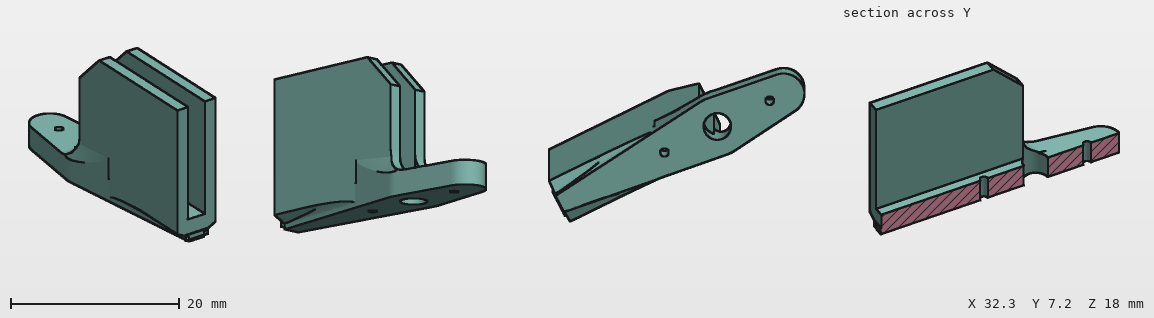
import cadquery as cq
import math

length = 32.3
nose_radius = 2.5
plate_width = 7.2
middle_radius = plate_width / 2
middle_x = 11.27
plate_height = 3.0
taper = (middle_radius - nose_radius) / (middle_x - nose_radius)
tail_slope = 0.12

blade_front = 12.3
blade_back = 32.2
blade_top = 18.0
blade_half_width = 2.78
slot_half_width = 1.23
corner_chamfer = 4.0
front_fillet = 3.0

underside_height = 1.5
underside_fillet = 1.03
underside_slope = 0.5

flare_front_x = 11.65
flare_front_top = 5.1
flare_rear_top = 5.7
flare_power = 1.3
flare_stations = 8
flare_last_fraction = 0.98

pivot_radius = 1.6
pin_diameter = 1.0
pin_positions = (4.33, 18.28)
pad_half_width = 1.6
pad_bottom = 0.25
pad_top = 1.0

tail_cos = 1 / math.sqrt(1 + tail_slope**2)
tail_sin = tail_slope * tail_cos
tail_start_x = middle_x + middle_radius * tail_sin
tail_start_y = middle_radius * tail_cos


def tail_half_width(x):
    return tail_start_y - tail_slope * (x - tail_start_x)


crossing_x = tail_start_x + (tail_start_y - blade_half_width) / tail_slope


def plate(height):
    """Tapered plate outline extruded up from the bottom."""
    side_cos = math.sqrt(1 - taper**2)
    nose = (nose_radius * (1 - taper), nose_radius * side_cos)
    middle = (middle_x - middle_radius * taper, middle_radius * side_cos)
    tail_y = tail_half_width(blade_back)
    return (
        cq.Workplane("XY")
        .moveTo(nose[0], -nose[1])
        .threePointArc((0, 0), nose)
        .lineTo(*middle)
        .threePointArc((middle_x, middle_radius), (tail_start_x, tail_start_y))
        .lineTo(blade_back, tail_y)
        .lineTo(blade_back, -tail_y)
        .lineTo(tail_start_x, -tail_start_y)
        .threePointArc((middle_x, -middle_radius), (middle[0], -middle[1]))
        .close()
        .extrude(height)
    )


def upright(half_width):
    """Side profile with chamfered top corner and concave front foot."""
    arc_center = (blade_front - front_fillet, plate_height + front_fillet)
    arc_offset = front_fillet * math.sqrt(0.5)
    return (
        cq.Workplane("XZ")
        .moveTo(blade_front - front_fillet, plate_height)
        .threePointArc(
            (arc_center[0] + arc_offset, arc_center[1] - arc_offset),
            (blade_front, arc_center[1]),
        )
        .lineTo(blade_front, blade_top - corner_chamfer)
        .lineTo(blade_front + corner_chamfer, blade_top)
        .lineTo(blade_back, blade_top)
        .lineTo(blade_back, underside_height)
        .lineTo(crossing_x, underside_height)
        .lineTo(crossing_x, plate_height)
        .close()
        .extrude(half_width, both=True)
    )


def flare_section(fraction):
    """Cross-section under the sloping flare, from its front (0) to its rear (1)."""
    x = flare_front_x + fraction * (crossing_x - flare_front_x)
    wall = tail_half_width(x)
    rise = 1 - (1 - fraction**flare_power) ** (1 / flare_power)
    wall_z = plate_height + rise * (flare_rear_top - plate_height)
    top_z = flare_front_top + fraction * (flare_rear_top - flare_front_top)
    half = [(wall, 0), (wall, wall_z), (blade_half_width, top_z)]
    mirrored = [(-y, z) for y, z in reversed(half)]
    return [cq.Vector(x, y, z) for y, z in half + mirrored]


def flare():
    wires = []
    for station in range(flare_stations + 1):
        fraction = flare_last_fraction * station / flare_stations
        wires.append(cq.Wire.makePolygon(flare_section(fraction), close=True))
    rear = cq.Workplane(cq.Solid.makeLoft(wires))
    front_points = [(p.y, p.z) for p in flare_section(0)]
    front = (
        cq.Workplane("YZ", origin=(flare_front_x, 0, 0))
        .polyline(front_points)
        .close()
        .extrude(blade_front - front_fillet - flare_front_x)
    )
    foot = upright(middle_radius).union(plate(plate_height)).intersect(plate(blade_top))
    return front.union(rear).intersect(foot)


def underside_fills():
    """Concave fillets along both tail walls."""
    wall_plane = cq.Plane(
        origin=(tail_start_x, tail_start_y, 0),
        xDir=(tail_sin, tail_cos, 0),
        normal=(tail_cos, -tail_sin, 0),
    )
    bend = underside_fillet * (1 - math.sqrt(0.5))
    fill = (
        cq.Workplane(wall_plane)
        .moveTo(0, underside_height - underside_fillet)
        .threePointArc((bend, underside_height - bend), (underside_fillet, underside_height))
        .lineTo(0, underside_height)
        .close()
        .extrude(length)
    )
    return fill.union(fill.mirror("XZ"))


def underside():
    """Fillets and sloping undersides, trimmed to the blade faces."""
    trim = cq.Workplane("XY").box(
        blade_back - crossing_x, 2 * blade_half_width, plate_height, centered=(False, True, False)
    ).translate((crossing_x, 0, 0))
    fill = underside_fills().intersect(trim)
    inner_z = underside_height - underside_slope * (blade_half_width - slot_half_width)
    slope = (
        cq.Workplane("YZ", origin=(crossing_x, 0, 0))
        .polyline([
            (-blade_half_width, underside_height),
            (-slot_half_width, inner_z),
            (slot_half_width, inner_z),
            (blade_half_width, underside_height),
        ])
        .close()
        .extrude(blade_back - crossing_x)
    )
    return fill.union(slope)


def back_pad():
    return cq.Workplane("XY").box(
        length - blade_back, 2 * pad_half_width, pad_top - pad_bottom, centered=(False, True, False)
    ).translate((blade_back, 0, pad_bottom))


def slot():
    return cq.Workplane("XY").box(
        length, 2 * slot_half_width, blade_top, centered=(False, True, False)
    ).translate((0, 0, plate_height))


def vertical_hole(x, radius):
    return cq.Workplane("XY").center(x, 0).circle(radius).extrude(blade_top)


result = plate(plate_height).union(upright(blade_half_width)).union(flare())
result = result.union(underside()).union(back_pad()).cut(slot())
result = result.cut(vertical_hole(middle_x, pivot_radius))
for pin_x in pin_positions:
    result = result.cut(vertical_hole(pin_x, pin_diameter / 2))